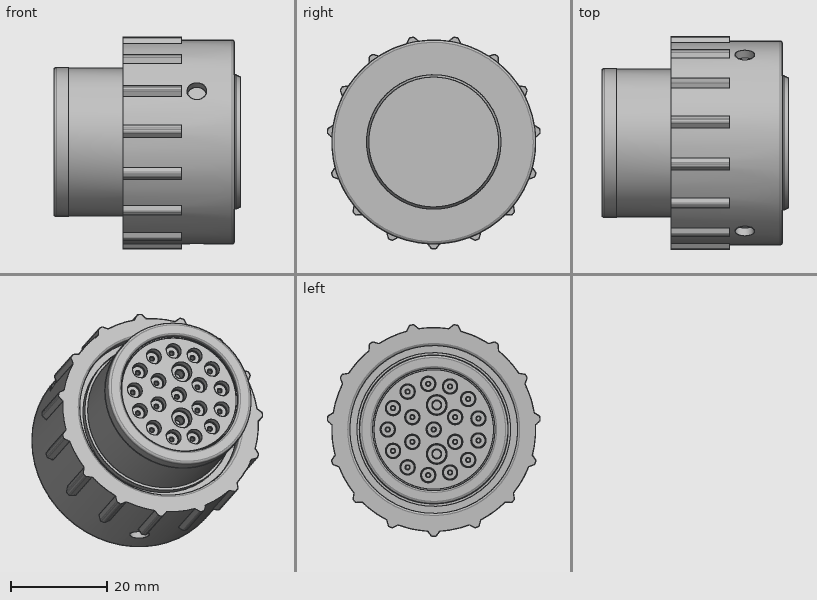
import cadquery as cq
import math


overall_length = 38.8
collar_front = 15.8
coupling_front = 14.3
coupling_back = 37.47
rib_back = 26.5
bore_floor = 17.32

barrel_radius = 15.4
band_radius = 15.45
band_length = 3.05
band_fillet = 0.55
collar_radius = 15.95

coupling_radius = 21.15
coupling_bore_radius = 17.4
bore_lip_fillet = 0.45
coupling_back_fillet = 0.5

rear_insert_radius = 13.95
rear_insert_straight_end = 37.8
rear_insert_end_radius = 13.5

rib_count = 15
rib_tip_radius = 22.2
rib_base_half_width = 1.33
rib_tip_half_width = 0.45
rib_tip_fillet = 0.4
rib_flank_sink = 0.1
rib_root_sink = 0.9
rib_flank_radius = coupling_radius - rib_flank_sink
rib_root_radius = coupling_radius - rib_root_sink

recess_radius = 25.4 / 2
recess_lip_fillet = 0.35
recess_depth = 0.95
front_insert_radius = 24.8 / 2
front_insert_step = 0.15

small_mouth, small_neck, small_floor = 3.2, 3.0, 2.75
large_mouth, large_neck, large_floor = 4.3, 4.0, 3.8
cavity_neck_depth = 1.33
cavity_depth = 1.55
small_socket_mouth, small_socket_end = 1.05, 0.8
large_socket_mouth, large_socket_end = 2.05, 1.75
socket_taper = 0.2
socket_depth = 2.65

outer_ring_count = 13
outer_ring_radius = 9.55
inner_ring_radius = 5.13
inner_ring_angles = (30, 150, 210, 330)
large_contact_y = -0.6
large_contact_z = 5.1

wrench_hole_diameter = 4.0
wrench_hole_x = 29.7
wrench_hole_depth = 1.95
wrench_hole_angles = (30, 150, 270)


def revolve_about_x(profile):
    """Turn a closed half profile, drawn as (x, radius), about the X axis."""
    return profile.close().revolve(360, (0, 0, 0), (1, 0, 0))


def make_body():
    profile = (
        cq.Workplane("XY")
        .moveTo(0, 0)
        .lineTo(0, band_radius - band_fillet)
        .radiusArc((band_fillet, band_radius), band_fillet)
        .lineTo(band_length, band_radius)
        .lineTo(band_length, barrel_radius)
        .lineTo(collar_front, barrel_radius)
        .lineTo(collar_front, collar_radius)
        .lineTo(bore_floor, collar_radius)
        .lineTo(bore_floor, coupling_bore_radius)
        .lineTo(coupling_front + bore_lip_fillet, coupling_bore_radius)
        .radiusArc((coupling_front, coupling_bore_radius + bore_lip_fillet), bore_lip_fillet)
        .lineTo(coupling_front, coupling_radius)
        .lineTo(coupling_back - coupling_back_fillet, coupling_radius)
        .radiusArc((coupling_back, coupling_radius - coupling_back_fillet), coupling_back_fillet)
        .lineTo(coupling_back, rear_insert_radius)
        .lineTo(rear_insert_straight_end, rear_insert_radius)
        .lineTo(overall_length, rear_insert_end_radius)
        .lineTo(overall_length, 0)
    )
    return revolve_about_x(profile)


def make_ribs():
    rib = (
        cq.Workplane("YZ", origin=(coupling_front, 0, 0))
        .polyline([
            (-rib_base_half_width, -rib_root_radius),
            (-rib_base_half_width, -rib_flank_radius),
            (-rib_tip_half_width, -rib_tip_radius),
            (rib_tip_half_width, -rib_tip_radius),
            (rib_base_half_width, -rib_flank_radius),
            (rib_base_half_width, -rib_root_radius),
        ])
        .close()
        .extrude(rib_back - coupling_front)
        .faces("<Z")
        .edges("|X")
        .fillet(rib_tip_fillet)
    )
    ribs = cq.Workplane("XY")
    for index in range(rib_count):
        ribs = ribs.add(rib.rotate((0, 0, 0), (1, 0, 0), index * 360 / rib_count))
    return ribs


def make_recess():
    profile = (
        cq.Workplane("XY")
        .moveTo(0, 0)
        .lineTo(0, recess_radius + recess_lip_fillet)
        .radiusArc((recess_lip_fillet, recess_radius), -recess_lip_fillet)
        .lineTo(recess_depth + front_insert_step, recess_radius)
        .lineTo(recess_depth + front_insert_step, front_insert_radius)
        .lineTo(recess_depth, front_insert_radius)
        .lineTo(recess_depth, 0)
    )
    return revolve_about_x(profile)


def make_cavity(mouth, neck, floor, socket_mouth, socket_end):
    """Tapered contact cavity with a smaller socket in its floor, on the X axis."""
    neck_x = recess_depth + cavity_neck_depth
    floor_x = recess_depth + cavity_depth
    profile = (
        cq.Workplane("XY")
        .moveTo(recess_depth, 0)
        .lineTo(recess_depth, mouth / 2)
        .lineTo(neck_x, neck / 2)
        .lineTo(floor_x, floor / 2)
        .lineTo(floor_x, socket_mouth / 2)
        .lineTo(floor_x + socket_taper, socket_end / 2)
        .lineTo(floor_x + socket_depth, socket_end / 2)
        .lineTo(floor_x + socket_depth, 0)
    )
    return revolve_about_x(profile)


def ring_point(radius, angle):
    """Position (y, z) at an angle measured from +Y toward +Z."""
    return (radius * math.cos(math.radians(angle)), radius * math.sin(math.radians(angle)))


def make_contacts():
    small_cavity = make_cavity(small_mouth, small_neck, small_floor, small_socket_mouth, small_socket_end)
    large_cavity = make_cavity(large_mouth, large_neck, large_floor, large_socket_mouth, large_socket_end)

    small_places = [(0, 0)]
    small_places += [ring_point(inner_ring_radius, angle) for angle in inner_ring_angles]
    for index in range(outer_ring_count):
        small_places.append(ring_point(outer_ring_radius, index * 360 / outer_ring_count))
    large_places = [(large_contact_y, large_contact_z), (large_contact_y, -large_contact_z)]

    contacts = cq.Workplane("XY")
    for y, z in small_places:
        contacts = contacts.add(small_cavity.translate((0, y, z)))
    for y, z in large_places:
        contacts = contacts.add(large_cavity.translate((0, y, z)))
    return contacts


def make_wrench_holes():
    hole = (
        cq.Workplane("XZ", origin=(wrench_hole_x, coupling_radius - wrench_hole_depth, 0))
        .circle(wrench_hole_diameter / 2)
        .extrude(-2 * wrench_hole_depth)
    )
    holes = cq.Workplane("XY")
    for angle in wrench_hole_angles:
        holes = holes.add(hole.rotate((0, 0, 0), (1, 0, 0), angle))
    return holes


def add_all(body, pieces):
    for piece in pieces.vals():
        body = body.union(cq.Workplane(piece))
    return body


def cut_all(body, pieces):
    for piece in pieces.vals():
        body = body.cut(cq.Workplane(piece))
    return body


result = add_all(make_body(), make_ribs())
result = result.cut(make_recess())
result = cut_all(result, make_contacts())
result = cut_all(result, make_wrench_holes())